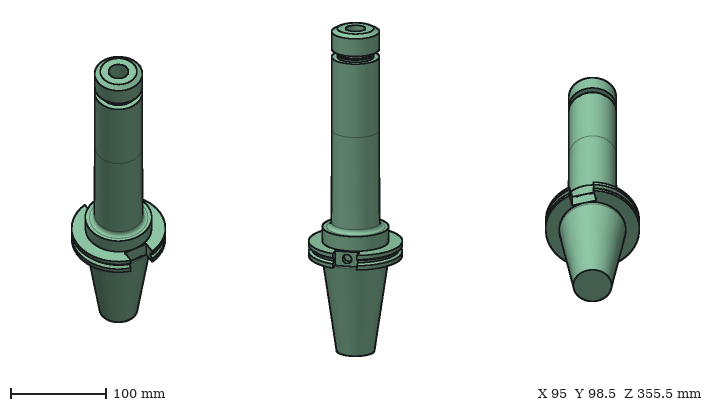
import cadquery as cq
import math

total_height = 355.5

taper_length = 101.7
taper_small_radius = 40.2 / 2
taper_large_radius = 35.0
taper_neck_length = 3.2

flange_radius = 98.5 / 2
flange_thickness = 16.0
groove_width = 6.8
groove_floor_width = 2.5
groove_flank_angle = 60.0

collar_radius = taper_large_radius
collar_height = 16.0
shank_base_radius = 25.5
shank_radius = 50.0 / 2
shank_taper_top = 243.5
shank_fillet = 5.0
shank_top = 324.3

nut_radius = shank_radius
nut_height = 22.8
nut_face_radius = 19.2
nut_chamfer_height = 3.38
neck_upper_radius = 20.0
neck_upper_height = 4.3
relief_radius = 17.8
relief_height = 1.8
neck_lower_radius = 38.0 / 2
bore_radius = 10.3
bore_depth = 53.5

slot_width = 26.0
slot_floor_minus_x = 37.7
slot_floor_plus_x = 35.0
slot_hole_radius = 9.5 / 2
slot_hole_depth = 7.0

flange_bottom = taper_length + taper_neck_length
flange_middle = flange_bottom + flange_thickness / 2
flange_top = flange_bottom + flange_thickness
collar_top = flange_top + collar_height
nut_bottom = total_height - nut_height
neck_step = nut_bottom - neck_upper_height
relief_bottom = neck_step - relief_height


def turned_body():
    """Revolve the half profile of the holder about Z."""
    groove_depth = (groove_width - groove_floor_width) / 2 * math.tan(math.radians(groove_flank_angle))
    groove_floor_radius = flange_radius - groove_depth
    fillet_offset = shank_fillet * (1 - math.sqrt(0.5))
    return (
        cq.Workplane("XZ")
        .polyline([
            (0, 0),
            (taper_small_radius, 0),
            (taper_large_radius, taper_length),
            (taper_large_radius, flange_bottom),
            (flange_radius, flange_bottom),
            (flange_radius, flange_middle - groove_width / 2),
            (groove_floor_radius, flange_middle - groove_floor_width / 2),
            (groove_floor_radius, flange_middle + groove_floor_width / 2),
            (flange_radius, flange_middle + groove_width / 2),
            (flange_radius, flange_top),
            (collar_radius, flange_top),
            (collar_radius, collar_top),
            (shank_base_radius + shank_fillet, collar_top),
        ])
        .threePointArc(
            (shank_base_radius + fillet_offset, collar_top + fillet_offset),
            (shank_base_radius, collar_top + shank_fillet),
        )
        .lineTo(shank_radius, shank_taper_top)
        .lineTo(shank_radius, shank_top)
        .lineTo(neck_lower_radius, shank_top)
        .lineTo(neck_lower_radius, relief_bottom)
        .lineTo(relief_radius, relief_bottom)
        .lineTo(relief_radius, neck_step)
        .lineTo(neck_upper_radius, neck_step)
        .lineTo(neck_upper_radius, nut_bottom)
        .lineTo(nut_radius, nut_bottom)
        .lineTo(nut_radius, total_height - nut_chamfer_height)
        .lineTo(nut_face_radius, total_height)
        .lineTo(0, total_height)
        .close()
        .revolve(360, (0, 0, 0), (0, 1, 0))
    )


def drive_slot(side, floor_distance):
    """Cutter for one slot; side is -1 or +1 along X."""
    slot_length = flange_radius - floor_distance
    return (
        cq.Workplane("XY")
        .box(slot_length, slot_width, flange_thickness)
        .translate((side * (floor_distance + slot_length / 2), 0, flange_middle))
    )


def slot_hole():
    """Cutter for the blind hole in the floor of the -X slot."""
    return (
        cq.Workplane("YZ", origin=(-slot_floor_minus_x, 0, flange_middle))
        .circle(slot_hole_radius)
        .extrude(slot_hole_depth)
    )


def bore():
    """Cutter for the blind tool bore in the nut face."""
    return cq.Workplane("XY", origin=(0, 0, total_height)).circle(bore_radius).extrude(-bore_depth)


result = (
    turned_body()
    .cut(drive_slot(-1, slot_floor_minus_x))
    .cut(drive_slot(1, slot_floor_plus_x))
    .cut(slot_hole())
    .cut(bore())
)